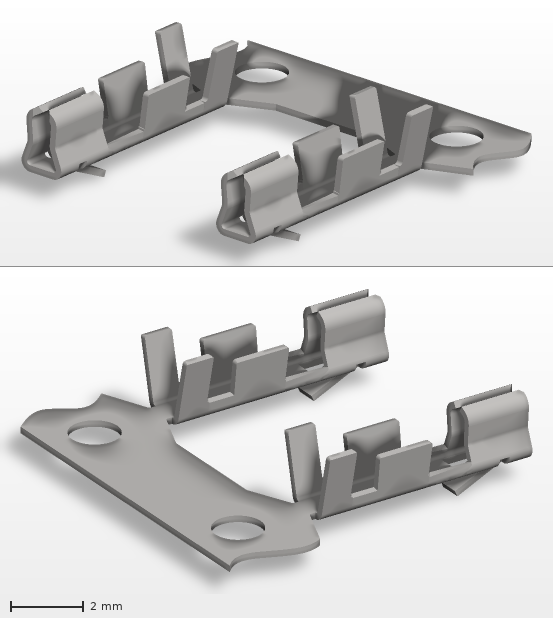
import cadquery as cq
import math

SHEET = 0.2
PITCH = 7.1
TERMINAL_X = (-PITCH / 2, PITCH / 2)

STRIP_REAR = 3.8
STRIP_FRONT = 0.8
PILOT_HOLE_DIAMETER = 1.5
PILOT_HOLE_Y = (STRIP_REAR + STRIP_FRONT) / 2
NECK_WIDTH = 0.82
NECK_LENGTH = 0.2
NECK_FILLET = 0.08
FLANK_HALF_WIDTH = 1.8
LEFT_WAVE = [
    (-5.38, STRIP_REAR),
    (-5.025, 2.95),
    (-5.26, 2.3),
    (-5.51, 1.6),
    (-5.38, STRIP_FRONT),
]
RIGHT_WAVE = [
    (4.985, STRIP_REAR),
    (5.33, 3.34),
    (5.53, 2.75),
    (5.25, 2.2),
    (5.0, 1.62),
    (5.25, 1.04),
    (5.467, STRIP_FRONT),
]

REAR_WING_END = 0.9
FRONT_WING_START = 1.8
FRONT_WING_END = 3.55
BOX_START = 5.0
TERMINAL_LENGTH = 7.0

FLOOR_HALF_WIDTH = 0.425
FLOOR_BEND_RADIUS = 0.2
REAR_WING_LEAN = 12.8
REAR_WING_HEIGHT = 2.15
FRONT_WING_LEAN = 8.9
FRONT_WING_HEIGHT = 1.61
FRONT_WING_TAPER = 0.04
WING_CORNER_FILLET = 0.1
WING_FOOT_FILLET = 0.1
CHANNEL_HEIGHT = 0.54
CHANNEL_FRONT_HEIGHT = 0.475

WALL_LEAN_IN = 21.5
WALL_LENGTH = 0.52
WAIST_BEND_RADIUS = 0.28
UPPER_WALL_LEAN_OUT = 5
UPPER_WALL_LENGTH = 0.54
LIP_BEND_RADIUS = 0.3
LIP_RISE_ANGLE = 29
LIP_LENGTH = 0.17
LEAD_IN_LENGTH = 0.2
LEAD_IN_INNER_HALF_WIDTH = 0.085
LEAD_IN_OUTER_HALF_WIDTH = 0.3
LEAD_IN_BOTTOM = 1.4

LANCE_ROOT = 6.24
LANCE_ROOT_TOP = 0.245
LANCE_ANGLE = 24.5
LANCE_WIDTH = 0.7
LANCE_TIP_Z = -0.65
LANCE_SLOT_START = 4.71
LANCE_SLOT_WIDTH = 0.72
WINDOW_START = 5.915
WINDOW_HEIGHT = 0.306


def section_plane(station):
    """XZ plane at a distance from the terminal's rear end; extruding runs towards the front."""
    return cq.Workplane("XZ", origin=(0, -station, 0))


def offset_point(x, z, heading, distance):
    """Point to the right of (x, z) when looking along the heading."""
    return x + distance * math.sin(heading), z - distance * math.cos(heading)


def sheet_faces(x, z, heading):
    """Points on the outer and inner faces of the sheet at a place on its mid-line."""
    return offset_point(x, z, heading, SHEET / 2), offset_point(x, z, heading, -SHEET / 2)


def draw_edge(outline, middle, end):
    """Arc through the middle point, or a straight line if there is none."""
    if middle is None:
        return outline.lineTo(*end)
    return outline.threePointArc(middle, end)


def half_section(plane, steps):
    """Closed right-hand half of a bent sheet section.

    The mid-line starts at the middle of the floor. Each step is ("line", length) or
    ("bend", angle, radius), where a positive angle turns anticlockwise.
    """
    x, z, heading = 0.0, SHEET / 2, 0.0
    outer_start, inner_end = sheet_faces(x, z, heading)
    outer_edges = []
    inner_edges = []
    for kind, amount, *radius in steps:
        outer_middle = None
        inner_middle = None
        if kind == "line":
            x += amount * math.cos(heading)
            z += amount * math.sin(heading)
        else:
            turn = math.radians(amount)
            signed_radius = math.copysign(radius[0], turn)
            centre = offset_point(x, z, heading, -signed_radius)
            halfway = heading + turn / 2
            middle = offset_point(*centre, halfway, signed_radius)
            outer_middle, inner_middle = sheet_faces(*middle, halfway)
            heading += turn
            x, z = offset_point(*centre, heading, signed_radius)
        outer_end, inner_start = sheet_faces(x, z, heading)
        outer_edges.append((outer_middle, outer_end))
        inner_edges.append((inner_middle, inner_end))
        inner_end = inner_start

    outline = plane.moveTo(*outer_start)
    for middle, end in outer_edges:
        outline = draw_edge(outline, middle, end)
    outline = outline.lineTo(*inner_end)
    for middle, end in reversed(inner_edges):
        outline = draw_edge(outline, middle, end)
    return outline.close()


def side_steps(lean_out, height):
    """Floor, bend and a straight side whose highest corner reaches the given height."""
    turn = 90 - lean_out
    lean = math.radians(lean_out)
    bend_end = SHEET / 2 + FLOOR_BEND_RADIUS * (1 - math.sin(lean))
    length = (height - SHEET / 2 * abs(math.sin(lean)) - bend_end) / math.cos(lean)
    return [("line", FLOOR_HALF_WIDTH), ("bend", turn, FLOOR_BEND_RADIUS), ("line", length)]


BOX_STEPS = [
    ("line", FLOOR_HALF_WIDTH),
    ("bend", 90 + WALL_LEAN_IN, FLOOR_BEND_RADIUS),
    ("line", WALL_LENGTH),
    ("bend", -(WALL_LEAN_IN + UPPER_WALL_LEAN_OUT), WAIST_BEND_RADIUS),
    ("line", UPPER_WALL_LENGTH),
    ("bend", 90 + UPPER_WALL_LEAN_OUT - LIP_RISE_ANGLE, LIP_BEND_RADIUS),
    ("line", LIP_LENGTH),
]


def half_bar(steps, start, end):
    """Half section run straight between two stations."""
    return half_section(section_plane(start), steps).extrude(end - start)


def upright_blank(start, end, taper, height):
    """Block with the side outline of a wing: taper narrows its foot and the top corners are round."""
    return (
        cq.Workplane("YZ")
        .polyline([(-start - taper, 0), (-end + taper, 0), (-end, height), (-start, height)])
        .close()
        .extrude(PITCH / 2)
        .edges("|X and >Z")
        .fillet(WING_CORNER_FILLET)
    )


def half_rear_wing():
    """Rear wing with a fillet where its front edge drops to the channel side."""
    foot_end = REAR_WING_END + WING_FOOT_FILLET
    wing = half_bar(side_steps(REAR_WING_LEAN, REAR_WING_HEIGHT), 0, foot_end)
    foot_outline = (
        cq.Workplane("YZ")
        .moveTo(0, 0)
        .lineTo(-foot_end, 0)
        .lineTo(-foot_end, CHANNEL_HEIGHT)
        .radiusArc((-REAR_WING_END, CHANNEL_HEIGHT + WING_FOOT_FILLET), -WING_FOOT_FILLET)
        .lineTo(0, CHANNEL_HEIGHT + WING_FOOT_FILLET)
        .close()
        .extrude(PITCH / 2)
    )
    return wing.intersect(upright_blank(0, REAR_WING_END, 0, REAR_WING_HEIGHT).union(foot_outline))


def half_front_wing():
    wing = half_bar(side_steps(FRONT_WING_LEAN, FRONT_WING_HEIGHT), FRONT_WING_START, FRONT_WING_END)
    return wing.intersect(
        upright_blank(FRONT_WING_START, FRONT_WING_END, FRONT_WING_TAPER, FRONT_WING_HEIGHT)
    )


def half_channel():
    return half_bar(side_steps(FRONT_WING_LEAN, CHANNEL_HEIGHT), REAR_WING_END, FRONT_WING_END)


def half_transition():
    """Low sides that twist from the wing lean to the box wall lean."""
    rear = half_section(section_plane(FRONT_WING_END), side_steps(FRONT_WING_LEAN, CHANNEL_FRONT_HEIGHT))
    front = half_section(section_plane(BOX_START), side_steps(-WALL_LEAN_IN, CHANNEL_FRONT_HEIGHT))
    return cq.Workplane(cq.Solid.makeLoft([rear.val(), front.val()], True))


def lead_in_cutter():
    """Opens the lips into a V at the mating end."""
    front = -TERMINAL_LENGTH
    rear = front + LEAD_IN_LENGTH
    return (
        cq.Workplane("XY", origin=(0, 0, LEAD_IN_BOTTOM))
        .polyline([
            (-LEAD_IN_OUTER_HALF_WIDTH, front),
            (LEAD_IN_OUTER_HALF_WIDTH, front),
            (LEAD_IN_INNER_HALF_WIDTH, rear),
            (-LEAD_IN_INNER_HALF_WIDTH, rear),
        ])
        .close()
        .extrude(REAR_WING_HEIGHT - LEAD_IN_BOTTOM)
    )


def lance_slot_cutter():
    """Slot in the floor behind the lance, with a window across both lower corners at its root."""
    slot = cq.Workplane("XY").box(
        LANCE_SLOT_WIDTH, LANCE_ROOT - LANCE_SLOT_START, SHEET, centered=(True, False, False)
    )
    window = cq.Workplane("XY").box(
        PITCH / 2, LANCE_ROOT - WINDOW_START, WINDOW_HEIGHT, centered=(True, False, False)
    )
    return slot.union(window).translate((0, -LANCE_ROOT, 0))


def lance():
    """Sloping tongue whose top levels off with the floor at its root."""
    angle = math.radians(LANCE_ANGLE)
    root_y = -LANCE_ROOT
    root_bottom = LANCE_ROOT_TOP - SHEET / math.cos(angle)
    tip_y = root_y + (root_bottom - LANCE_TIP_Z) / math.tan(angle)
    tip_top = (tip_y + SHEET * math.sin(angle), LANCE_TIP_Z + SHEET * math.cos(angle))
    flat_start = (root_y + (LANCE_ROOT_TOP - SHEET) / math.tan(angle), SHEET)
    return (
        cq.Workplane("YZ")
        .polyline([(root_y, SHEET), (root_y, root_bottom), (tip_y, LANCE_TIP_Z), tip_top, flat_start])
        .close()
        .extrude(LANCE_WIDTH / 2, both=True)
    )


def make_terminal():
    half = (
        half_rear_wing()
        .union(half_channel())
        .union(half_front_wing())
        .union(half_transition())
        .union(half_bar(BOX_STEPS, BOX_START, TERMINAL_LENGTH))
    )
    body = half.union(half.mirror("YZ"))
    return body.cut(lead_in_cutter()).cut(lance_slot_cutter()).union(lance())


def make_carrier_strip():
    outline = cq.Workplane("XY").moveTo(*LEFT_WAVE[0]).spline(LEFT_WAVE[1:], includeCurrent=True)
    left, right = TERMINAL_X
    half_neck = NECK_WIDTH / 2
    outline = (
        outline.lineTo(left - half_neck, NECK_LENGTH)
        .lineTo(left - half_neck, 0)
        .lineTo(left + half_neck, 0)
        .lineTo(left + half_neck, NECK_LENGTH)
        .lineTo(left + FLANK_HALF_WIDTH, STRIP_FRONT)
        .lineTo(right - FLANK_HALF_WIDTH, STRIP_FRONT)
        .lineTo(right - half_neck, NECK_LENGTH)
        .lineTo(right - half_neck, 0)
        .lineTo(right + half_neck, 0)
        .lineTo(right + half_neck, NECK_LENGTH)
        .lineTo(*RIGHT_WAVE[-1])
        .spline(RIGHT_WAVE[-2::-1], includeCurrent=True)
        .close()
    )
    strip = outline.extrude(SHEET)
    neck_corners = cq.selectors.BoxSelector(
        (-PITCH, NECK_LENGTH / 2, -SHEET), (PITCH, NECK_LENGTH * 3 / 2, 2 * SHEET)
    )
    strip = strip.edges("|Z").edges(neck_corners).fillet(NECK_FILLET)
    holes = [(x, PILOT_HOLE_Y) for x in TERMINAL_X]
    return strip.cut(cq.Workplane("XY").pushPoints(holes).circle(PILOT_HOLE_DIAMETER / 2).extrude(SHEET))


carrier_strip = make_carrier_strip()
terminal = make_terminal()
terminals = [terminal.translate((x, 0, 0)) for x in TERMINAL_X]

result = cq.Compound.makeCompound([carrier_strip.val(), *[t.val() for t in terminals]])